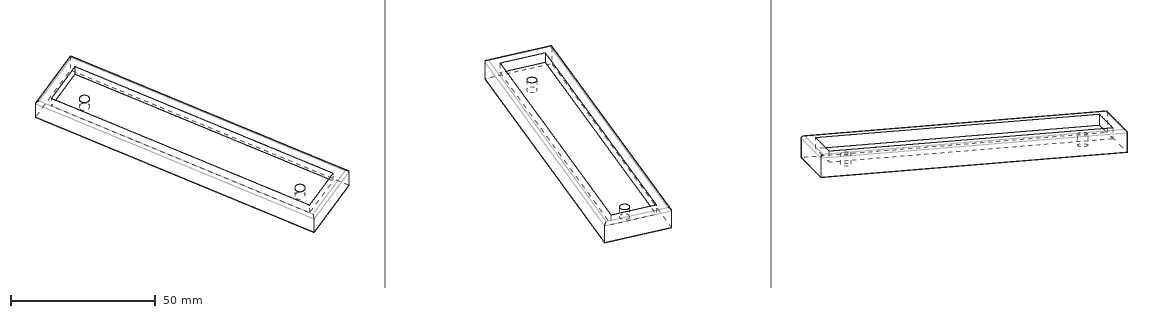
import cadquery as cq

length = 110.0
width = 25.0
height = 8.0
edge_round = 1.0

wall = 4.1
pocket_depth = 4.0
pocket_length = length - 2 * wall
pocket_width = width - 2 * wall

hole_diameter = 3.5
hole_spacing = 85.0

body = cq.Workplane("XY").box(length, width, height, centered=(True, True, False))
body = body.faces(">Z").edges().fillet(edge_round)

pocket = (
    cq.Workplane("XY")
    .workplane(offset=height - pocket_depth)
    .rect(pocket_length, pocket_width)
    .extrude(pocket_depth)
)

holes = (
    cq.Workplane("XY")
    .pushPoints([(-hole_spacing / 2, 0), (hole_spacing / 2, 0)])
    .circle(hole_diameter / 2)
    .extrude(height)
)

result = body.cut(pocket).cut(holes)